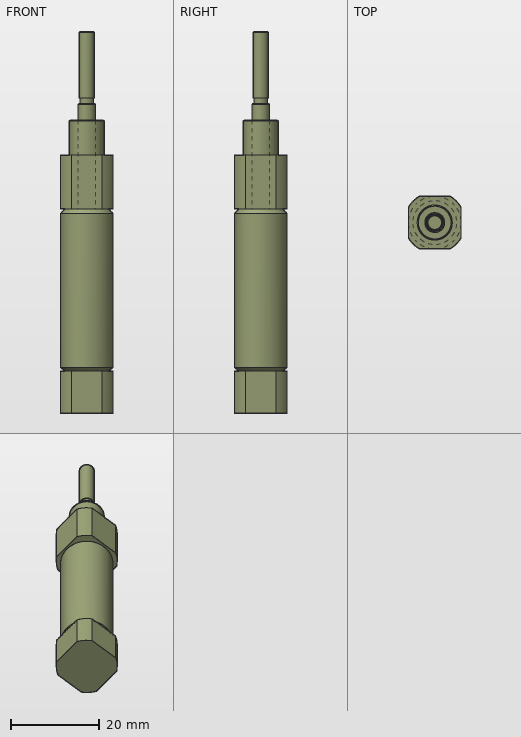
import cadquery as cq

CAP_WIDTH = 12.0
CAP_CORNER_DIAMETER = 13.9
REAR_CAP_LENGTH = 9.6
FRONT_CAP_LENGTH = 12.2

TUBE_DIAMETER = CAP_WIDTH
NECK_DIAMETER = 10.0
REAR_NECK_LENGTH = 0.8
FRONT_NECK_LENGTH = 1.0
TUBE_TOP = 46.45

NOSE_DIAMETER = 8.0
NOSE_LENGTH = 8.0
NOSE_CHAMFER = 0.3
BORE_DIAMETER = 4.0
BORE_CHAMFER = 0.3

ROD_DIAMETER = BORE_DIAMETER
SHOULDER_CHAMFER = 0.2
UNDERCUT_DIAMETER = 3.1
UNDERCUT_LENGTH = 1.3
THREAD_DIAMETER = 3.5
THREAD_LENGTH = 15.0
THREAD_CHAMFER = 0.2
OVERALL_LENGTH = 86.7

FRONT_CAP_BOTTOM = TUBE_TOP
NOSE_BOTTOM = FRONT_CAP_BOTTOM + FRONT_CAP_LENGTH
NOSE_TOP = NOSE_BOTTOM + NOSE_LENGTH
THREAD_BOTTOM = OVERALL_LENGTH - THREAD_LENGTH
ROD_SHOULDER = THREAD_BOTTOM - UNDERCUT_LENGTH
BORE_BOTTOM = FRONT_CAP_BOTTOM


def cylinder(diameter, bottom, top):
    """Upright cylinder on the Z axis between two heights."""
    return cq.Workplane("XY").workplane(offset=bottom).circle(diameter / 2).extrude(top - bottom)


def square_cap(bottom, length):
    """Square block whose four corners are turned to a common diameter."""
    block = cq.Workplane("XY").workplane(offset=bottom).rect(CAP_WIDTH, CAP_WIDTH).extrude(length)
    return block.intersect(cylinder(CAP_CORNER_DIAMETER, bottom, bottom + length))


def make_tube():
    """Tube that tapers to the neck diameter where it meets each cap."""
    neck_radius = NECK_DIAMETER / 2
    tube_radius = TUBE_DIAMETER / 2
    outline = [
        (0, REAR_CAP_LENGTH),
        (neck_radius, REAR_CAP_LENGTH),
        (tube_radius, REAR_CAP_LENGTH + REAR_NECK_LENGTH),
        (tube_radius, TUBE_TOP - FRONT_NECK_LENGTH),
        (neck_radius, TUBE_TOP),
        (0, TUBE_TOP),
    ]
    return cq.Workplane("XZ").polyline(outline).close().revolve(360, (0, 0), (0, 1))


def make_housing():
    """Caps, tube and nose in one piece, bored for the rod."""
    nose = cylinder(NOSE_DIAMETER, NOSE_BOTTOM, NOSE_TOP).faces(">Z").chamfer(NOSE_CHAMFER)
    body = square_cap(0, REAR_CAP_LENGTH).union(make_tube())
    body = body.union(square_cap(FRONT_CAP_BOTTOM, FRONT_CAP_LENGTH)).union(nose)
    body = body.cut(cylinder(BORE_DIAMETER, BORE_BOTTOM, NOSE_TOP))
    bore_mouth = body.faces(">Z").edges(cq.selectors.RadiusNthSelector(0))
    return bore_mouth.chamfer(BORE_CHAMFER)


def make_rod():
    """Piston rod filling the bore, with its undercut, chamfered shoulder and chamfered thread end."""
    shank = cylinder(ROD_DIAMETER, BORE_BOTTOM, ROD_SHOULDER)
    shank = shank.faces(">Z").chamfer(SHOULDER_CHAMFER)
    undercut = cylinder(UNDERCUT_DIAMETER, ROD_SHOULDER, THREAD_BOTTOM)
    thread = cylinder(THREAD_DIAMETER, THREAD_BOTTOM, OVERALL_LENGTH)
    thread = thread.faces(">Z").chamfer(THREAD_CHAMFER)
    return shank.union(undercut).union(thread)


housing = make_housing()
rod = make_rod()
result = cq.Compound.makeCompound([housing.val(), rod.val()])